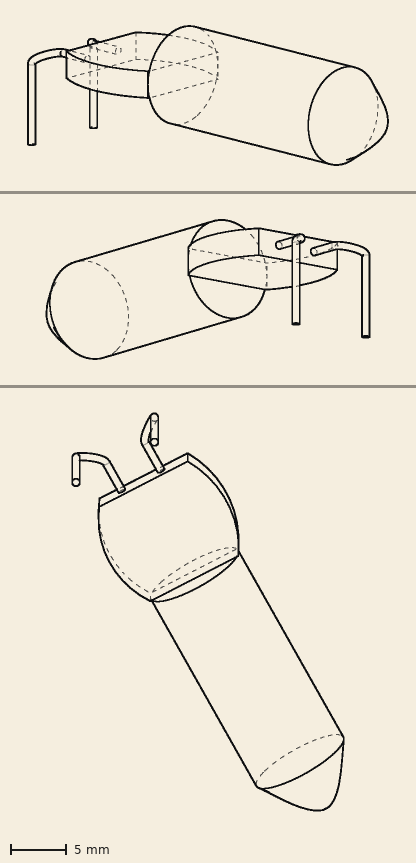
import cadquery as cq

barrel_radius = 4.5
barrel_length = 20.0
nose_length = 5.0
shoulder_handle_x = 1.5
shoulder_handle_radius = 3.45
tip_handle_radius = 1.65

plate_length = 10.0
plate_thickness = 2.5
plate_bulge = 6.0
end_corner_left = 4.3
end_corner_right = 4.7

lead_radius = 0.35
lead_root_y = 2.0
lead_tip_y = 4.0
lead_straight = 3.0
lead_reach = 5.0
bend_drop = 1.0
bend_handle = 0.65
lead_bottom_z = -8.5

barrel_end_x = plate_length + barrel_length


def make_barrel():
    """Revolve the cylinder and its blunt, pointed nose about the X axis."""
    tip_x = barrel_end_x + nose_length
    nose_controls = [
        (barrel_end_x, barrel_radius),
        (barrel_end_x + shoulder_handle_x, shoulder_handle_radius),
        (tip_x, tip_handle_radius),
        (tip_x, 0),
    ]
    return (
        cq.Workplane("XY")
        .moveTo(plate_length, 0)
        .lineTo(plate_length, barrel_radius)
        .lineTo(barrel_end_x, barrel_radius)
        .bezier(nose_controls)
        .close()
        .revolve(360, (0, 0), (1, 0))
    )


def make_plate():
    """Extrude the plate, centred on the barrel axis in Z."""
    middle_x = plate_length / 2
    return (
        cq.Workplane("XY")
        .workplane(offset=-plate_thickness / 2)
        .moveTo(0, end_corner_left)
        .threePointArc((middle_x, plate_bulge), (plate_length, barrel_radius))
        .lineTo(plate_length, -barrel_radius)
        .threePointArc((middle_x, -plate_bulge), (0, -end_corner_right))
        .close()
        .extrude(plate_thickness)
    )


def make_lead(side):
    """Sweep one round lead that runs out of the plate, splays sideways and turns down."""
    root = cq.Vector(0, side * lead_root_y, 0)
    bend_start = cq.Vector(-lead_straight, side * lead_root_y, 0)
    bend_end = cq.Vector(-lead_reach, side * lead_tip_y, -bend_drop)
    tip = cq.Vector(-lead_reach, side * lead_tip_y, lead_bottom_z)
    bend_controls = [
        bend_start,
        bend_start - cq.Vector(bend_handle, 0, 0),
        bend_end + cq.Vector(0, 0, bend_handle),
        bend_end,
    ]
    path = cq.Wire.assembleEdges([
        cq.Edge.makeLine(root, bend_start),
        cq.Edge.makeBezier(bend_controls),
        cq.Edge.makeLine(bend_end, tip),
    ])
    return (
        cq.Workplane("YZ", origin=root.toTuple())
        .circle(lead_radius)
        .sweep(cq.Workplane(path), isFrenet=False)
    )


result = make_barrel().union(make_plate())
for lead_side in (1, -1):
    result = result.union(make_lead(lead_side))